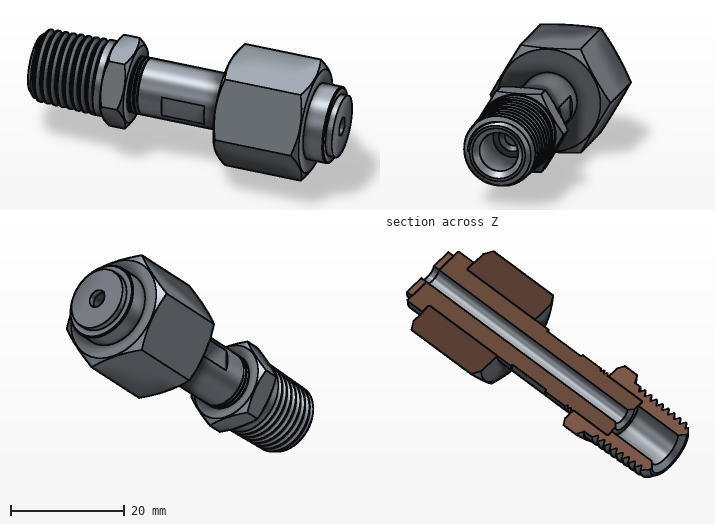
import cadquery as cq
import math


PIPE_PITCH = 25.4 / 18
PIPE_TAPER = 1 / 32
PIPE_CREST_RADIUS = 6.44
PIPE_GROOVE_DEPTH = 0.95
PIPE_THREAD_END = 12.5
PIPE_END_RADIUS = 5.1
PIPE_END_CHAMFER_LENGTH = 1.3
COLLAR_START = 12.7
COLLAR_RADIUS = 6.82
ADAPTER_HEX_START = 14.1
ADAPTER_HEX_LENGTH = 4.38
ADAPTER_HEX_FLATS = 14.29
ADAPTER_BORE_RADIUS = 3.53
ADAPTER_COUNTERSINK_RADIUS = 4.6
SOCKET_DEPTH = 8.0

STEM_RADIUS = 5.1
STEM_BORE_RADIUS = 1.63
STEM_COUNTERSINK_RADIUS = 2.47
STEM_PITCH = 25.4 / 32
STEM_GROOVE_DEPTH = 0.45
STEM_THREAD_LENGTH = 1.9
FLAT_START = 24.92
FLAT_LENGTH = 7.95
FLAT_WIDTH = 4.0
FLANGE_RADIUS = 6.92
FLANGE_LENGTH = 3.72
FLANGE_CHAMFER = 0.2

NUT_START = 36.06
NUT_LENGTH = 16.0
NUT_FLATS = 19.05

WASHER_RADIUS = 5.6
OVERALL_LENGTH = 56.97

HEX_CHAMFER_ANGLE = math.radians(30)
HEX_FACE_INSET = 0.15
THREAD_HALF_ANGLE = math.radians(30)
GROOVE_ROOT_WIDTH = 0.06
STRAIGHT_HELIX = 360
CUT_MARGIN = 0.15

ADAPTER_END = ADAPTER_HEX_START + ADAPTER_HEX_LENGTH
SOCKET_START = ADAPTER_END - SOCKET_DEPTH
NUT_END = NUT_START + NUT_LENGTH
FLANGE_END = NUT_END + FLANGE_LENGTH


def revolve_profile(points):
    """Turn an (x, radius) outline about the X axis."""
    return cq.Workplane("XY").polyline(points).close().revolve(360, (0, 0, 0), (1, 0, 0))


def rod(start, end, radius):
    """Cylinder along the X axis."""
    return cq.Workplane("YZ", origin=(start, 0, 0)).circle(radius).extrude(end - start)


def countersink(start, outer_radius, inner_radius):
    """45 degree cone that narrows from outer_radius at start to inner_radius."""
    depth = outer_radius - inner_radius
    return revolve_profile([(start, 0), (start, outer_radius), (start + depth, inner_radius), (start + depth, 0)])


def chamfered_hexagon(start, length, flats):
    """Hexagon along X, two flats facing +Z and -Z, corners turned at both ends."""
    corner_radius = flats / math.sqrt(3)
    face_radius = flats / 2 - HEX_FACE_INSET
    chamfer_length = (corner_radius - face_radius) * math.tan(HEX_CHAMFER_ANGLE)
    end = start + length
    prism = cq.Workplane("YZ", origin=(start, 0, 0)).polygon(6, 2 * corner_radius).extrude(length)
    turned_blank = revolve_profile([
        (start, 0),
        (start, face_radius),
        (start + chamfer_length, corner_radius),
        (end - chamfer_length, corner_radius),
        (end, face_radius),
        (end, 0),
    ])
    return prism.intersect(turned_blank)


def thread_groove(start, end, pitch, crest_radius, depth, taper=0.0):
    """Right-hand V groove around X; crest_radius is the crest radius at start."""
    cone_angle = math.degrees(math.atan(taper)) if taper else STRAIGHT_HELIX
    path = cq.Wire.makeHelix(
        pitch,
        end - start,
        crest_radius,
        center=cq.Vector(start, 0, 0),
        dir=cq.Vector(1, 0, 0),
        angle=cone_angle,
    )
    start_point = path.startPoint()
    outward = cq.Vector(0, start_point.y, start_point.z).normalized()
    section_plane = cq.Plane(origin=start_point, xDir=(1, 0, 0), normal=cq.Vector(1, 0, 0).cross(outward))
    root_half_width = GROOVE_ROOT_WIDTH / 2
    mouth_half_width = root_half_width + (depth + CUT_MARGIN) * math.tan(THREAD_HALF_ANGLE)
    return (
        cq.Workplane(section_plane)
        .polyline([
            (-root_half_width, -depth),
            (root_half_width, -depth),
            (mouth_half_width, CUT_MARGIN),
            (-mouth_half_width, CUT_MARGIN),
        ])
        .close()
        .sweep(cq.Workplane(path), isFrenet=True)
    )


def make_adapter():
    chamfer_crest_radius = PIPE_CREST_RADIUS + PIPE_TAPER * PIPE_END_CHAMFER_LENGTH
    tapered_end = revolve_profile([
        (0, 0),
        (0, PIPE_END_RADIUS),
        (PIPE_END_CHAMFER_LENGTH, chamfer_crest_radius),
        (COLLAR_START, COLLAR_RADIUS),
        (COLLAR_START, 0),
    ])
    groove_start = -PIPE_PITCH / 2
    groove = thread_groove(
        groove_start,
        PIPE_THREAD_END,
        PIPE_PITCH,
        PIPE_CREST_RADIUS + PIPE_TAPER * groove_start,
        PIPE_GROOVE_DEPTH,
        PIPE_TAPER,
    )
    hexagon = chamfered_hexagon(ADAPTER_HEX_START, ADAPTER_HEX_LENGTH, ADAPTER_HEX_FLATS)
    return (
        tapered_end.cut(groove)
        .union(rod(COLLAR_START, ADAPTER_HEX_START, COLLAR_RADIUS))
        .union(hexagon)
        .cut(rod(0, ADAPTER_END, ADAPTER_BORE_RADIUS))
        .cut(countersink(0, ADAPTER_COUNTERSINK_RADIUS, ADAPTER_BORE_RADIUS))
        .cut(rod(SOCKET_START, ADAPTER_END, STEM_RADIUS - STEM_GROOVE_DEPTH))
    )


def wrench_flats():
    """Blocks that leave a shallow flat on the +Y and -Y sides of the stem."""
    flat_distance = math.sqrt(STEM_RADIUS**2 - (FLAT_WIDTH / 2) ** 2)
    block_depth = STEM_RADIUS - flat_distance + CUT_MARGIN
    block_offset = flat_distance + block_depth / 2
    return (
        cq.Workplane("XY", origin=(FLAT_START + FLAT_LENGTH / 2, 0, 0))
        .pushPoints([(0, block_offset), (0, -block_offset)])
        .box(FLAT_LENGTH, block_depth, 2 * STEM_RADIUS)
    )


def make_stem():
    spigot = rod(SOCKET_START, ADAPTER_END, STEM_RADIUS - STEM_GROOVE_DEPTH)
    shank = rod(ADAPTER_END, NUT_END, STEM_RADIUS)
    flange = rod(NUT_END, FLANGE_END, FLANGE_RADIUS).faces(">X").chamfer(FLANGE_CHAMFER)
    groove = thread_groove(
        ADAPTER_END - STEM_PITCH,
        ADAPTER_END + STEM_THREAD_LENGTH,
        STEM_PITCH,
        STEM_RADIUS,
        STEM_GROOVE_DEPTH,
    )
    return (
        shank.cut(groove)
        .union(spigot)
        .union(flange)
        .cut(wrench_flats())
        .cut(rod(SOCKET_START, FLANGE_END, STEM_BORE_RADIUS))
        .cut(countersink(SOCKET_START, STEM_COUNTERSINK_RADIUS, STEM_BORE_RADIUS))
    )


def make_nut():
    hexagon = chamfered_hexagon(NUT_START, NUT_LENGTH, NUT_FLATS)
    return hexagon.cut(rod(NUT_START, NUT_END, STEM_RADIUS))


def make_washer():
    disc = rod(FLANGE_END, OVERALL_LENGTH, WASHER_RADIUS)
    return disc.cut(rod(FLANGE_END, OVERALL_LENGTH, STEM_BORE_RADIUS))


adapter = make_adapter()
stem = make_stem()
nut = make_nut()
washer = make_washer()

result = cq.Compound.makeCompound([adapter.solids().val(), stem.solids().val(), nut.solids().val(), washer.solids().val()])